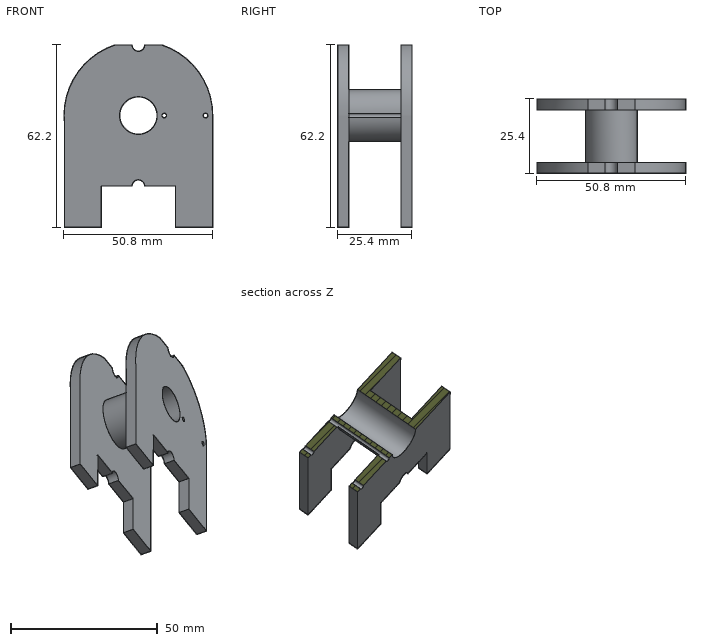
import cadquery as cq
import math

total_depth = 25.4
total_height = 62.2
plate_thickness = 3.8

head_radius = 25.4
axis_height = 38.15
top_flat_half = math.sqrt(head_radius**2 - (total_height - axis_height) ** 2)

arc_drop = 3.05
left_side_x = -math.sqrt(head_radius**2 - arc_drop**2)

opening_half_width = 12.65
opening_height = 14.05
notch_radius = 2.1

spool_diameter = 17.8
bore_diameter = 12.7
pin_diameter = 1.5
pin_offsets = (8.85, 22.9)


def cylinder_along_y(x, z, diameter):
    """Full-depth cylinder parallel to Y, centred on the XZ plane."""
    return (
        cq.Workplane("XZ")
        .center(x, z)
        .circle(diameter / 2)
        .extrude(total_depth / 2, both=True)
    )


def make_plate(front_y):
    """Arched plate with two legs, its front face at front_y."""
    arc_mid = head_radius * math.sqrt(0.5)
    return (
        cq.Workplane("XZ", origin=(0, front_y, 0))
        .moveTo(left_side_x, 0)
        .lineTo(-opening_half_width, 0)
        .lineTo(-opening_half_width, opening_height)
        .lineTo(opening_half_width, opening_height)
        .lineTo(opening_half_width, 0)
        .lineTo(head_radius, 0)
        .lineTo(head_radius, axis_height)
        .threePointArc((arc_mid, axis_height + arc_mid), (top_flat_half, total_height))
        .lineTo(-top_flat_half, total_height)
        .threePointArc((-arc_mid, axis_height + arc_mid), (left_side_x, axis_height - arc_drop))
        .close()
        .extrude(-plate_thickness)
    )


result = cylinder_along_y(0, axis_height, spool_diameter)
for front_y in (-total_depth / 2, total_depth / 2 - plate_thickness):
    result = result.union(make_plate(front_y))

result = result.cut(cylinder_along_y(0, axis_height, bore_diameter))
for pin_x in pin_offsets:
    result = result.cut(cylinder_along_y(pin_x, axis_height, pin_diameter))

for notch_z in (opening_height, total_height):
    result = result.cut(cylinder_along_y(0, notch_z, 2 * notch_radius))